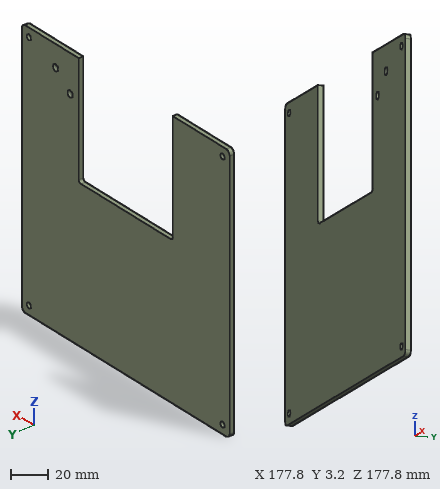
import cadquery as cq

side = 177.8
thickness = 3.2
corner_radius = 3.0

notch_width = 80.4
notch_depth = 76.8
notch_corner_radius = 1.8

mount_hole_diameter = 3.5
mount_hole_inset = 6.0

side_hole_diameter = 4.3
side_hole_centres = [(47.7, 63.5), (60.1, 74.1)]


def make_plate():
    plate = cq.Workplane("XY").box(side, thickness, side)
    return plate.edges("|Y").fillet(corner_radius)


def make_notch():
    """Cutter reaching from the notch floor to the top edge."""
    notch = cq.Workplane("XY").box(notch_width, thickness, notch_depth)
    notch = notch.edges("|Y and <Z").fillet(notch_corner_radius)
    return notch.translate((0, 0, (side - notch_depth) / 2))


def make_holes(centres, diameter):
    """Cutters running through the full plate thickness."""
    pins = cq.Workplane("XZ").pushPoints(centres).circle(diameter / 2)
    return pins.extrude(thickness, both=True)


mount_offset = side / 2 - mount_hole_inset
mount_hole_centres = [(x, z) for x in (-mount_offset, mount_offset) for z in (-mount_offset, mount_offset)]

result = make_plate().cut(make_notch())
result = result.cut(make_holes(mount_hole_centres, mount_hole_diameter))
result = result.cut(make_holes(side_hole_centres, side_hole_diameter))